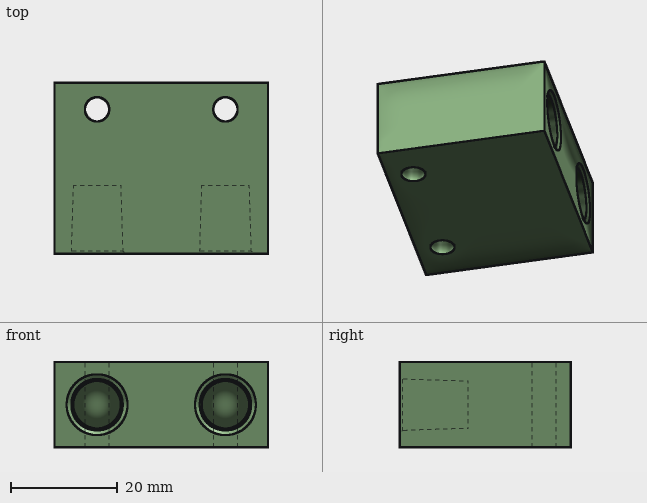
import math

import cadquery as cq

LENGTH_X = 40.0
DEPTH_Y = 32.0
HEIGHT_Z = 16.0
FRONT_Y = -DEPTH_Y / 2
REAR_Y = DEPTH_Y / 2

HOLE_SPACING = 24.0

MOUNT_DIAMETER = 4.5
MOUNT_REAR_OFFSET = 5.0

LEAD_IN_DIAMETER = 11.38
LEAD_IN_ANGLE = 120.0
PORT_MOUTH_DIAMETER = 9.64
PORT_TAPER = 1 / 16
PORT_DEPTH = 12.8
LEAD_IN_STEP = (LEAD_IN_DIAMETER - PORT_MOUTH_DIAMETER) / 2
LEAD_IN_DEPTH = LEAD_IN_STEP / math.tan(math.radians(LEAD_IN_ANGLE / 2))
PORT_END_DIAMETER = PORT_MOUTH_DIAMETER - PORT_TAPER * (PORT_DEPTH - LEAD_IN_DEPTH)


def make_port(x):
    """Solid of one port: half profile revolved about the port axis along Y."""
    end_y = FRONT_Y + PORT_DEPTH
    return (
        cq.Workplane("XY")
        .moveTo(x, FRONT_Y)
        .lineTo(x + LEAD_IN_DIAMETER / 2, FRONT_Y)
        .lineTo(x + PORT_MOUTH_DIAMETER / 2, FRONT_Y + LEAD_IN_DEPTH)
        .lineTo(x + PORT_END_DIAMETER / 2, end_y)
        .lineTo(x, end_y)
        .close()
        .revolve(360, (x, FRONT_Y, 0), (x, end_y, 0))
    )


def make_mount_hole(x):
    """Vertical cylinder through the full height of the block."""
    return (
        cq.Workplane("XY", origin=(x, REAR_Y - MOUNT_REAR_OFFSET, -HEIGHT_Z / 2))
        .circle(MOUNT_DIAMETER / 2)
        .extrude(HEIGHT_Z)
    )


result = cq.Workplane("XY").box(LENGTH_X, DEPTH_Y, HEIGHT_Z)
for hole_x in (-HOLE_SPACING / 2, HOLE_SPACING / 2):
    result = result.cut(make_port(hole_x))
    result = result.cut(make_mount_hole(hole_x))